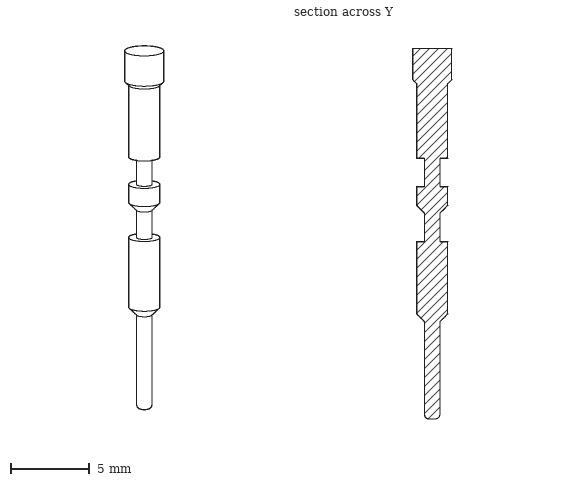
import cadquery as cq

head_diameter = 2.5
body_diameter = 2.0
pin_diameter = 1.0

total_length = 23.6

head_length = 2.0
groove_length = 1.8
collar_length = 1.2
upper_body_end = 7.0
lower_body_length = 4.6

tip_radius = 0.3

head_radius = head_diameter / 2
body_radius = body_diameter / 2
pin_radius = pin_diameter / 2

head_taper = head_radius - body_radius
body_taper = body_radius - pin_radius

head_bottom = total_length - head_length
upper_body_bottom = total_length - upper_body_end
collar_top = upper_body_bottom - groove_length
collar_bottom = collar_top - collar_length
lower_body_top = collar_bottom - body_taper - groove_length
lower_body_bottom = lower_body_top - lower_body_length


def cylinder(radius, bottom, top):
    """Cylinder on the Z axis between two heights."""
    return cq.Workplane("XY").workplane(offset=bottom).circle(radius).extrude(top - bottom)


def tapered_section(radius, bottom, top, taper):
    """Cylinder between two heights with a 45 degree taper continuing below it."""
    return cylinder(radius, bottom - taper, top).faces("<Z").chamfer(taper)


def pin():
    """Core pin running from the tip up into the upper body, with a rounded tip."""
    return cylinder(pin_radius, 0, head_bottom).faces("<Z").edges().fillet(tip_radius)


head = tapered_section(head_radius, head_bottom, total_length, head_taper)
upper_body = cylinder(body_radius, upper_body_bottom, head_bottom)
collar = tapered_section(body_radius, collar_bottom, collar_top, body_taper)
lower_body = tapered_section(body_radius, lower_body_bottom, lower_body_top, body_taper)

result = pin().union(upper_body).union(head).union(collar).union(lower_body)